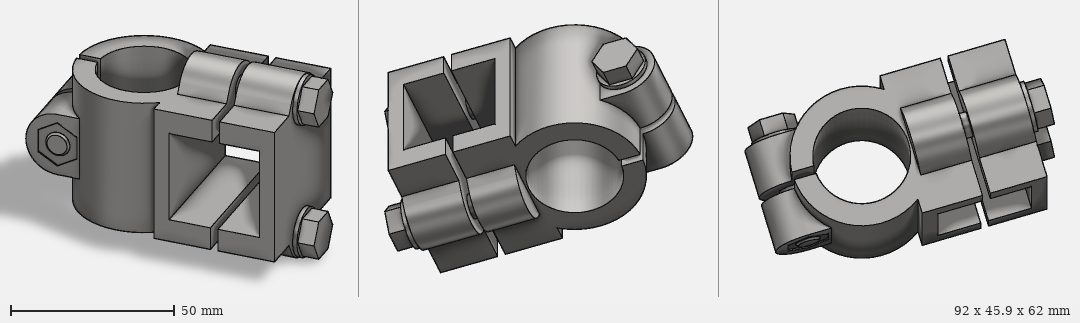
import cadquery as cq
import math

clamp_height = 45.0
bore_radius = 15.0
ring_radius = 22.0
slit = 2.5

holder_length = 40.0
holder_width = 45.0
holder_end_x = 52.6
holder_start_x = holder_end_x - holder_length
holder_mid_x = holder_end_x - holder_length / 2
tube_size = 30.0
upper_slit_shift = 0.55

lug_radius = 10.5
ring_lug_half_length = 16.45
holder_lug_setback = 3.0
holder_lug_start_x = holder_start_x + holder_lug_setback
overall_height = 62.0
holder_lug_top = overall_height / 2
flank_angle = math.radians(30)

shank_diameter = 8.0
tip_diameter = 6.6
washer_diameter = 16.0
washer_thickness = 1.5
hex_across_flats = 13.0
hex_corner_diameter = hex_across_flats * 2 / math.sqrt(3)
head_height = 5.4
nut_recess = 0.5
tip_projection = 0.3
holder_bolt_z = 23.0
holder_shank_length = 28.0


def make_clamp_body():
    """Ring and rectangular holder block, before any opening is cut."""
    ring = cq.Workplane("XY").circle(ring_radius).extrude(clamp_height / 2, both=True)
    block = cq.Workplane("XY").box(holder_length, holder_width, clamp_height)
    return ring.union(block.translate((holder_mid_x, 0, 0)))


def make_ring_lug():
    """Lug across the ring's split: round outside, running flat into the ring."""
    return (
        cq.Workplane("XZ")
        .moveTo(0, lug_radius)
        .lineTo(-ring_radius, lug_radius)
        .threePointArc((-ring_radius - lug_radius, 0), (-ring_radius, -lug_radius))
        .lineTo(0, -lug_radius)
        .close()
        .extrude(ring_lug_half_length, both=True)
    )


def make_upper_holder_lug():
    """Lug on the holder's top face: an arc with a straight tangent flank on each side."""
    base_z = clamp_height / 2
    arc_half_width = lug_radius * math.cos(flank_angle)
    arc_end_z = holder_lug_top - lug_radius * (1 - math.sin(flank_angle))
    base_half_width = arc_half_width + (arc_end_z - base_z) * math.tan(flank_angle)
    return (
        cq.Workplane("YZ", origin=(holder_lug_start_x, 0, 0))
        .moveTo(-base_half_width, base_z)
        .lineTo(-arc_half_width, arc_end_z)
        .threePointArc((0, holder_lug_top), (arc_half_width, arc_end_z))
        .lineTo(base_half_width, base_z)
        .close()
        .extrude(holder_end_x - holder_lug_start_x)
    )


def make_bolt(shank_length):
    """Bolt and washer along +Z: washer seat at Z = 0, shank below it, hex corners on X."""
    shank = (
        cq.Workplane("XY")
        .circle(shank_diameter / 2)
        .extrude(-shank_length)
        .faces("<Z")
        .chamfer((shank_diameter - tip_diameter) / 2)
    )
    washer = cq.Workplane("XY").circle(washer_diameter / 2).extrude(washer_thickness)
    head = (
        cq.Workplane("XY", origin=(0, 0, washer_thickness))
        .polygon(6, hex_corner_diameter)
        .extrude(head_height)
    )
    return shank.union(washer).union(head)


upper_lug = make_upper_holder_lug()
body = make_clamp_body().union(make_ring_lug())
body = body.union(upper_lug).union(upper_lug.mirror("XY"))

bore = cq.Workplane("XY").circle(bore_radius).extrude(clamp_height / 2, both=True)
tube_opening = cq.Workplane("XY").box(tube_size, holder_width, tube_size)
body = body.cut(bore)
body = body.cut(tube_opening.translate((holder_mid_x, 0, 0)))

ring_split_length = ring_radius + lug_radius
ring_split = cq.Workplane("XY").box(ring_split_length, slit, clamp_height)
body = body.cut(ring_split.translate((-ring_split_length / 2, 0, 0)))

for side, shift in ((1, upper_slit_shift), (-1, 0)):
    split = cq.Workplane("XY").box(slit, holder_width, holder_lug_top)
    body = body.cut(split.translate((holder_mid_x + shift, 0, side * holder_lug_top / 2)))

recess = (
    cq.Workplane("XZ", origin=(-ring_radius, -ring_lug_half_length, 0))
    .transformed(rotate=(0, 0, 90))
    .polygon(6, hex_corner_diameter)
    .extrude(-nut_recess)
)
body = body.cut(recess)

ring_bolt = make_bolt(2 * ring_lug_half_length + tip_projection)
ring_bolt = ring_bolt.rotate((0, 0, 0), (1, 0, 0), -90)
body = body.union(ring_bolt.translate((-ring_radius, ring_lug_half_length, 0)))

holder_bolt = make_bolt(holder_shank_length)
holder_bolt = holder_bolt.rotate((0, 0, 0), (0, 0, 1), 90).rotate((0, 0, 0), (0, 1, 0), 90)
for bolt_z in (holder_bolt_z, -holder_bolt_z):
    body = body.union(holder_bolt.translate((holder_end_x, 0, bolt_z)))

result = body